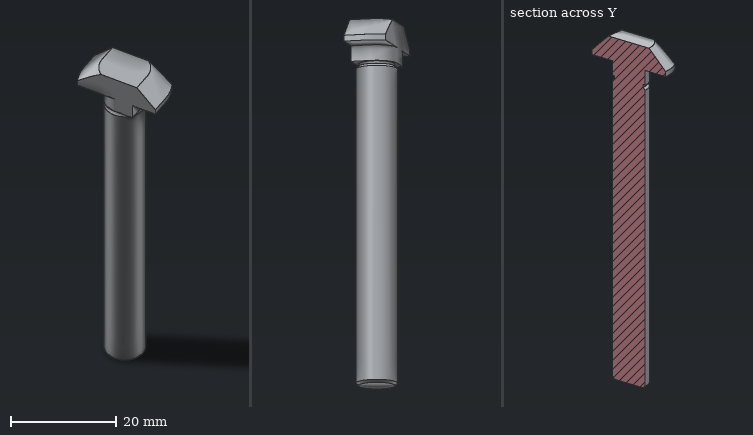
import cadquery as cq

total_height = 70.0
shank_diameter = 8.0
end_chamfer = 0.5

head_length = 18.0
head_width = 8.0
head_height = 4.9
head_rim_height = 1.1
head_top_length = 9.9

neck_height = 3.0
undercut_diameter = 7.0
undercut_height = 1.0

shank_radius = shank_diameter / 2
undercut_radius = undercut_diameter / 2
undercut_taper = shank_radius - undercut_radius
head_bottom = total_height - head_height
rim_top = head_bottom + head_rim_height
neck_bottom = head_bottom - neck_height
shank_top = neck_bottom - undercut_height


def quadrant_block(x_sign, y_sign, length, bottom, top):
    """Box filling one XY quadrant out to the head side face."""
    width = head_width / 2
    return (
        cq.Workplane("XY")
        .box(length, width, top - bottom)
        .translate((x_sign * length / 2, y_sign * width / 2, (bottom + top) / 2))
    )


def make_shank():
    """Chamfered shank with a tapered undercut and a round neck above it."""
    return (
        cq.Workplane("XZ")
        .moveTo(0, 0)
        .lineTo(shank_radius - end_chamfer, 0)
        .lineTo(shank_radius, end_chamfer)
        .lineTo(shank_radius, shank_top)
        .lineTo(undercut_radius, shank_top + undercut_taper)
        .lineTo(undercut_radius, neck_bottom)
        .lineTo(shank_radius, neck_bottom)
        .lineTo(shank_radius, head_bottom)
        .lineTo(0, head_bottom)
        .close()
        .revolve(360, (0, 0), (0, 1))
    )


def half_head_profile():
    """Half outline of the head in the XZ plane, from the axis out to +X."""
    return (
        cq.Workplane("XZ")
        .moveTo(0, head_bottom)
        .lineTo(head_length / 2, head_bottom)
        .lineTo(head_length / 2, rim_top)
        .lineTo(head_top_length / 2, total_height)
        .lineTo(0, total_height)
        .close()
    )


def make_head():
    """Straight bevels in two opposite quadrants, conical ones in the others."""
    straight_half = half_head_profile().extrude(head_width / 2)
    round_body = half_head_profile().revolve(360, (0, 0), (0, 1))
    head = straight_half.union(straight_half.rotate((0, 0, 0), (0, 0, 1), 180))
    for sign in (-1, 1):
        envelope = quadrant_block(sign, sign, head_length, head_bottom, total_height)
        head = head.union(round_body.intersect(envelope))
    return head


def add_neck_stops(body):
    """Square the neck in the two quadrants that stop the head's rotation."""
    for sign in (-1, 1):
        body = body.union(quadrant_block(sign, -sign, shank_radius, neck_bottom, head_bottom))
    return body


result = add_neck_stops(make_shank().union(make_head())).clean()